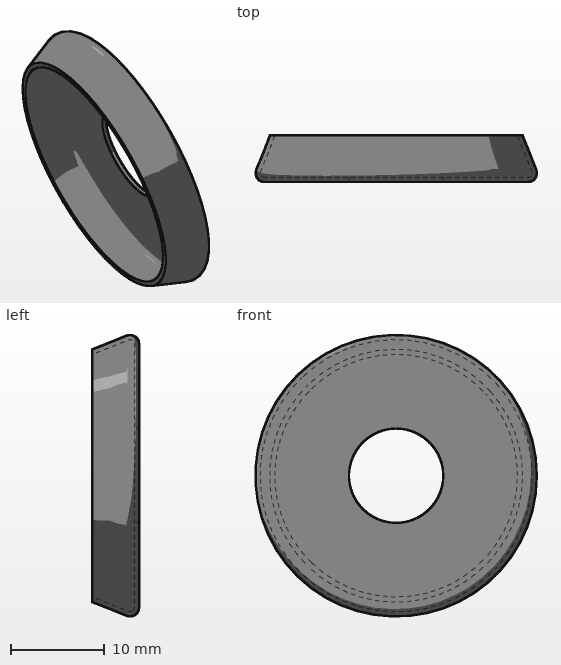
import cadquery as cq
import math

outer_radius = 14.98
depth = 5.0
hole_radius = 5.0
wall = 0.5
edge_radius = 1.0
taper_angle = math.radians(21.8)

round_center_x = outer_radius - edge_radius
round_center_y = edge_radius
tangent_x = round_center_x + edge_radius * math.cos(taper_angle)
tangent_y = round_center_y + edge_radius * math.sin(taper_angle)
back_radius = tangent_x - (depth - tangent_y) * math.tan(taper_angle)

inner_round = edge_radius - wall
inner_tangent_x = round_center_x + inner_round * math.cos(taper_angle)
inner_tangent_y = round_center_y + inner_round * math.sin(taper_angle)
inner_back_radius = back_radius - wall / math.cos(taper_angle)


def arc_middle(radius):
    """Point halfway along the round, from the flat face to the cone."""
    angle = (taper_angle - math.pi / 2) / 2
    return (
        round_center_x + radius * math.cos(angle),
        round_center_y + radius * math.sin(angle),
    )


profile = (
    cq.Workplane("XY")
    .moveTo(hole_radius, 0)
    .lineTo(round_center_x, 0)
    .threePointArc(arc_middle(edge_radius), (tangent_x, tangent_y))
    .lineTo(back_radius, depth)
    .lineTo(inner_back_radius, depth)
    .lineTo(inner_tangent_x, inner_tangent_y)
    .threePointArc(arc_middle(inner_round), (round_center_x, wall))
    .lineTo(hole_radius, wall)
    .close()
)

washer = profile.revolve(360, (0, 0, 0), (0, 1, 0))

result = washer.translate((0, -depth / 2, 0))